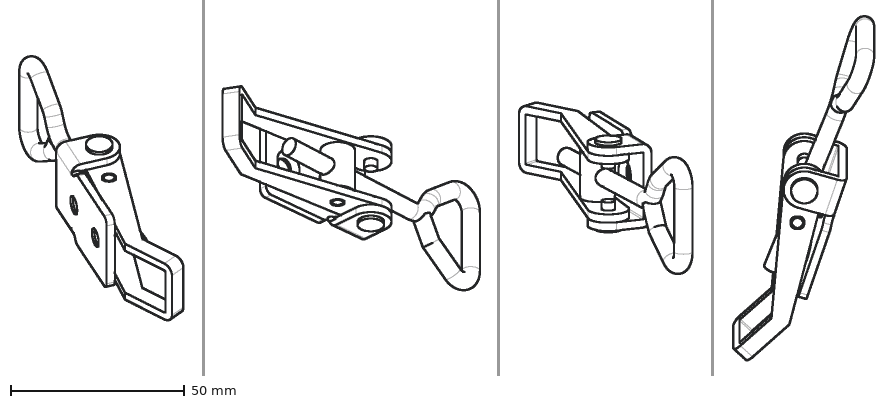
import cadquery as cq
import math


SHEET = 2.5
BEND_RADIUS = 2.9
INNER_BEND = BEND_RADIUS - SHEET

HINGE_Y = 11.0
LUG_RADIUS = 6.0
RIVET_RADIUS = 1.9
RIVET_HEAD_RADIUS = 3.8
RIVET_HEAD_HEIGHT = 1.0
RIVET_STUB = 2.5

BASE_WIDTH = 25.0
BASE_END_X = 34.1
BASE_CORNER = 2.1
NOTCH_HALF_WIDTH = 10.1
NOTCH_BOTTOM_X = 7.0
NOTCH_END_X = 10.9
SCREW_HOLE_DIAMETER = 5.4
SCREW_HOLE_LAND = 0.7
SCREW_HOLE_XS = (8.0, 25.0)

LEVER_WIDTH = BASE_WIDTH - 2 * SHEET
LEVER_GAP = LEVER_WIDTH - 2 * SHEET
KNEE_TOP = (43.2, 7.5)
KNEE_BOTTOM = (43.7, 1.9)
HANDLE_ANGLE = 28.2
HANDLE_TIP = (56.9, 14.8)
HANDLE_DEPTH = 5.1

TRUNNION_X = 11.9
TRUNNION_Y = 9.4
BARREL_RADIUS = 5.0
BARREL_LENGTH = 14.3
TRUNNION_PIN_RADIUS = 2.0
PIN_CHAMFER = 0.4

WIRE_RADIUS = 2.7
HOOK_TILT = 2.9
HOOK_BAR_X = -44.8
HOOK_CORNER_RADIUS = 4.9
HOOK_HALF_HEIGHT = 17.24
ARM_ANGLE = 35
LEG_ANGLE = 60
KNEE_BEND_RADIUS = 4.7
SHANK_BEND_X = -23.7
SHANK_BEND_RADIUS = 7.2
SHANK_END_X = 32.6
LOWER_KNEE_X = -27.9


def cylinder(x, y, z_start, z_end, radius):
    """Solid cylinder parallel to Z."""
    return cq.Workplane("XY", origin=(x, y, z_start)).circle(radius).extrude(z_end - z_start)


def rivet_holes():
    return cylinder(0, HINGE_Y, -BASE_WIDTH, BASE_WIDTH, RIVET_RADIUS)


def make_base():
    walls = (
        cq.Workplane("XY", origin=(0, 0, -BASE_WIDTH / 2))
        .moveTo(-LUG_RADIUS, 0)
        .lineTo(LUG_RADIUS, 0)
        .lineTo(LUG_RADIUS, HINGE_Y)
        .threePointArc((0, HINGE_Y + LUG_RADIUS), (-LUG_RADIUS, HINGE_Y))
        .close()
        .extrude(BASE_WIDTH)
        .edges("|X and <Y")
        .fillet(BEND_RADIUS)
    )
    channel_height = HINGE_Y + LUG_RADIUS - SHEET
    channel = (
        cq.Workplane("XY", origin=(0, SHEET + channel_height / 2, 0))
        .box(2 * LUG_RADIUS, channel_height, LEVER_WIDTH)
        .edges("|X and <Y")
        .fillet(INNER_BEND)
    )
    return walls.cut(channel).union(make_floor()).cut(screw_holes()).cut(rivet_holes())


def make_floor():
    """Flat plate behind the lugs, with a relief notch on each side next to them."""
    length = BASE_END_X - LUG_RADIUS
    floor = (
        cq.Workplane("XY", origin=(LUG_RADIUS + length / 2, SHEET / 2, 0))
        .box(length, SHEET, BASE_WIDTH)
        .edges("|Y and >X")
        .fillet(BASE_CORNER)
    )
    for side in (1, -1):
        floor = floor.cut(relief_notch(side))
    return floor


def relief_notch(side):
    """Notch in the +Z (side = 1) or -Z (side = -1) edge: a hollow and a shoulder of equal radius."""
    edge = side * BASE_WIDTH / 2
    bottom = side * NOTCH_HALF_WIDTH
    middle = ((NOTCH_BOTTOM_X + NOTCH_END_X) / 2, (bottom + edge) / 2)
    arc_run = middle[0] - NOTCH_BOTTOM_X
    arc_rise = abs(middle[1] - bottom)
    radius = (arc_run**2 + arc_rise**2) / (2 * arc_rise)
    rise_at_lug = radius - math.sqrt(radius**2 - (NOTCH_BOTTOM_X - LUG_RADIUS) ** 2)
    return (
        cq.Workplane("XZ")
        .moveTo(LUG_RADIUS, bottom + side * rise_at_lug)
        .threePointArc((NOTCH_BOTTOM_X, bottom), middle)
        .tangentArcPoint((NOTCH_END_X, edge), relative=False)
        .lineTo(LUG_RADIUS, edge)
        .close()
        .extrude(-SHEET)
    )


def screw_holes():
    """Holes through the floor, countersunk at 90 degrees from the inner side."""
    hole_radius = SCREW_HOLE_DIAMETER / 2
    sink_radius = hole_radius + SHEET - SCREW_HOLE_LAND
    profile = [
        (0, 0),
        (hole_radius, 0),
        (hole_radius, SCREW_HOLE_LAND),
        (sink_radius, SHEET),
        (0, SHEET),
    ]
    hole = cq.Workplane("XY").polyline(profile).close().revolve(360, (0, 0, 0), (0, 1, 0))
    first, second = [hole.translate((x, 0, 0)) for x in SCREW_HOLE_XS]
    return first.union(second)


def tangent_point(point, side):
    """Point where a line from the given point touches the hinge-end circle, above (+1) or below (-1)."""
    dx = point[0]
    dy = point[1] - HINGE_Y
    angle = math.atan2(dy, dx) + side * math.acos(LUG_RADIUS / math.hypot(dx, dy))
    return (LUG_RADIUS * math.cos(angle), HINGE_Y + LUG_RADIUS * math.sin(angle))


def make_lever():
    angle = math.radians(HANDLE_ANGLE)
    along = (math.cos(angle), math.sin(angle))
    across = (-math.sin(angle), math.cos(angle))
    tip_bottom = (HANDLE_TIP[0] - HANDLE_DEPTH * across[0], HANDLE_TIP[1] - HANDLE_DEPTH * across[1])

    side_profile = (
        cq.Workplane("XY", origin=(0, 0, -LEVER_WIDTH / 2))
        .moveTo(*tangent_point(KNEE_TOP, 1))
        .lineTo(*KNEE_TOP)
        .lineTo(*HANDLE_TIP)
        .lineTo(*tip_bottom)
        .lineTo(*KNEE_BOTTOM)
        .lineTo(*tangent_point(KNEE_BOTTOM, -1))
        .threePointArc((-LUG_RADIUS, HINGE_Y), tangent_point(KNEE_TOP, 1))
        .close()
        .extrude(LEVER_WIDTH)
    )

    reach = 2 * HANDLE_TIP[0]
    tip_plane = cq.Plane(
        origin=(HANDLE_TIP[0], HANDLE_TIP[1], 0),
        xDir=(along[0], along[1], 0),
        normal=(across[0], across[1], 0),
    )

    def rounded_block(end, width, radius):
        block = cq.Workplane("XY").box(reach, width, 2 * reach)
        block = block.edges("|Z and >X").fillet(radius).translate((end - reach / 2, 0, 0))
        return cq.Workplane(block.val().located(cq.Location(tip_plane)))

    strap = rounded_block(0, LEVER_WIDTH, BEND_RADIUS)
    strap = strap.cut(rounded_block(-SHEET, LEVER_GAP, INNER_BEND))
    pin_holes = cylinder(TRUNNION_X, TRUNNION_Y, -LEVER_WIDTH, LEVER_WIDTH, TRUNNION_PIN_RADIUS)
    return side_profile.intersect(strap).cut(rivet_holes()).cut(pin_holes)


def make_rivet(side):
    """Hinge rivet on the +Z (side = 1) or -Z (side = -1) wall."""
    wall = BASE_WIDTH / 2
    stub_end = LEVER_GAP / 2 - RIVET_STUB
    shaft = cylinder(0, HINGE_Y, side * stub_end, side * wall, RIVET_RADIUS)
    head = cylinder(0, HINGE_Y, side * wall, side * (wall + RIVET_HEAD_HEIGHT), RIVET_HEAD_RADIUS)
    return shaft.union(head)


def make_trunnion(wire_hole):
    pin = cylinder(TRUNNION_X, TRUNNION_Y, -LEVER_WIDTH / 2, LEVER_WIDTH / 2, TRUNNION_PIN_RADIUS)
    pin = pin.faces("<Z or >Z").chamfer(PIN_CHAMFER)
    barrel = cylinder(TRUNNION_X, TRUNNION_Y, -BARREL_LENGTH / 2, BARREL_LENGTH / 2, BARREL_RADIUS)
    return barrel.union(pin).cut(wire_hole)


def bend(vertex, angle_in, angle_out, radius):
    """Start, middle and end of the arc that rounds a wire vertex between two headings in degrees."""
    turn = math.radians(angle_out - angle_in)
    heading_in = math.radians(angle_in)
    heading_out = math.radians(angle_out)
    middle = math.radians((angle_in + angle_out) / 2 + 90)
    setback = radius * math.tan(abs(turn) / 2)
    rise = math.copysign(radius * (1 / math.cos(turn / 2) - 1), turn)
    return (
        (vertex[0] - setback * math.cos(heading_in), vertex[1] - setback * math.sin(heading_in)),
        (vertex[0] + rise * math.cos(middle), vertex[1] + rise * math.sin(middle)),
        (vertex[0] + setback * math.cos(heading_out), vertex[1] + setback * math.sin(heading_out)),
    )


def make_hook():
    arm = math.radians(ARM_ANGLE)
    leg = math.radians(LEG_ANGLE)
    corner_x = HOOK_BAR_X + HOOK_CORNER_RADIUS
    corner_z = HOOK_HALF_HEIGHT - WIRE_RADIUS - HOOK_CORNER_RADIUS
    arm_x = corner_x + HOOK_CORNER_RADIUS * math.sin(arm)
    arm_z = corner_z + HOOK_CORNER_RADIUS * math.cos(arm)

    half_turn = (math.radians(90) - arm + math.pi) / 2
    mid_x = corner_x + HOOK_CORNER_RADIUS * math.cos(half_turn)
    mid_z = corner_z + HOOK_CORNER_RADIUS * math.sin(half_turn)

    shank_vertex = (SHANK_BEND_X, 0)
    arm_slope = math.tan(arm)
    leg_slope = math.tan(leg)
    knee_x = (SHANK_BEND_X * leg_slope - arm_x * arm_slope - arm_z) / (leg_slope - arm_slope)
    upper_knee = (knee_x, (SHANK_BEND_X - knee_x) * leg_slope)
    lower_knee = (LOWER_KNEE_X, (LOWER_KNEE_X - arm_x) * arm_slope - arm_z)

    shank_bend = bend(shank_vertex, 180, 180 - LEG_ANGLE, SHANK_BEND_RADIUS)
    knee_bend = bend(upper_knee, 180 - LEG_ANGLE, 180 - ARM_ANGLE, KNEE_BEND_RADIUS)
    path = (
        cq.Workplane("XZ")
        .moveTo(SHANK_END_X, 0)
        .lineTo(*shank_bend[0])
        .threePointArc(*shank_bend[1:])
        .lineTo(*knee_bend[0])
        .threePointArc(*knee_bend[1:])
        .lineTo(arm_x, arm_z)
        .threePointArc((mid_x, mid_z), (HOOK_BAR_X, corner_z))
        .lineTo(HOOK_BAR_X, -corner_z)
        .threePointArc((mid_x, -mid_z), (arm_x, -arm_z))
    )
    wire = cq.Workplane("YZ", origin=(SHANK_END_X, 0, 0)).circle(WIRE_RADIUS).sweep(path)

    lower_path = cq.Workplane("XZ").moveTo(arm_x, -arm_z).lineTo(*lower_knee).lineTo(*shank_vertex)
    arm_section = cq.Plane(
        origin=(arm_x, 0, -arm_z), xDir=(0, 1, 0), normal=(math.cos(arm), 0, math.sin(arm))
    )
    lower_arm = cq.Workplane(arm_section).circle(WIRE_RADIUS).sweep(lower_path, transition="right")
    return wire.union(lower_arm)


def tilt_into_place(body):
    """Move a body from the flat hook plane Y = 0 to the tilted plane through the trunnion axis."""
    return body.translate((0, TRUNNION_Y, 0)).rotate(
        (TRUNNION_X, TRUNNION_Y, 0), (TRUNNION_X, TRUNNION_Y, 1), HOOK_TILT
    )


base = make_base()
lever = make_lever()
rivets = [make_rivet(side) for side in (1, -1)]
hook = tilt_into_place(make_hook())
shank_length = SHANK_END_X - SHANK_BEND_X
wire_hole = cq.Workplane("YZ", origin=(SHANK_BEND_X, 0, 0)).circle(WIRE_RADIUS).extrude(shank_length)
trunnion = make_trunnion(tilt_into_place(wire_hole))

result = cq.Compound.makeCompound(
    [base.val(), lever.val(), *[rivet.val() for rivet in rivets], trunnion.val(), hook.val()]
)